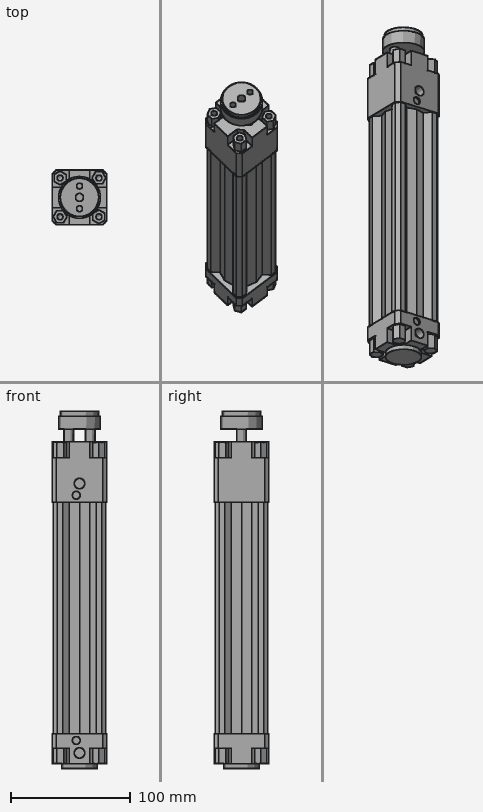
import cadquery as cq
import math

foot_height = 4
lower_cap_height = 25
upper_cap_height = 50.5
head_gap = 10.5
plate_height = 15
total_height = 299

lower_cap_bottom = foot_height
lower_cap_top = lower_cap_bottom + lower_cap_height
plate_bottom = total_height - plate_height
upper_cap_top = plate_bottom - head_gap
upper_cap_bottom = upper_cap_top - upper_cap_height

cap_width = 46
corner_count = 4
cap_chamfer = 3.6
foot_diameter = 30

upper_pocket_depth = 13.5
lower_pocket_depth = 12.8
nut_recess = 0.5
pocket_wall = 8.5
pocket_chamfer = 4
nut_offset = 16.25
nut_sides = 6
nut_across_flats = 10
nut_hole_diameter = 4.92
nut_hole_depth = 10
drill_point_angle = 118

tube_width = 44
tube_chamfer = 3.5
groove_half_width = 14
groove_depth = 5.5
groove_floor_angle = 15

port_diameter = 8.7
port_depth = 10
needle_diameter = 6.5
needle_depth = 1.5
needle_x = -2.7
upper_port_drop = 35
upper_needle_drop = 44.8
lower_port_rise = 9
lower_needle_rise = 19.5

plate_diameter = 35
plate_step_diameter = 32
plate_step_height = 4
rod_diameter = 8
rod_offset = 9
plate_thread_diameter = 6.65
plate_pin_diameter = 5
plate_pin_offset = 9.5
plate_hole_depth = 10


def cap(bottom, height):
    """Square block with chamfered vertical edges."""
    block = cq.Workplane("XY", origin=(0, 0, bottom)).rect(cap_width, cap_width).extrude(height)
    return block.edges("|Z").chamfer(cap_chamfer)


def corner_pocket(quarter_turn, bottom, depth):
    """Block that opens one corner of a cap, its inner edge chamfered."""
    size = cap_width / 2 - pocket_wall
    pocket = (
        cq.Workplane("XY", origin=(pocket_wall, pocket_wall, bottom))
        .box(size, size, depth, centered=False)
        .edges("|Z and <X and <Y")
        .chamfer(pocket_chamfer)
    )
    return pocket.rotate((0, 0, 0), (0, 0, 1), quarter_turn * 90)


def corner_nut(quarter_turn, bottom, height):
    """Hexagonal nut with flats facing +Y and -Y before it is turned into its corner."""
    nut = (
        cq.Workplane("XY", origin=(nut_offset, nut_offset, bottom))
        .polygon(nut_sides, nut_across_flats / math.cos(math.pi / nut_sides))
        .extrude(height)
    )
    return nut.rotate((0, 0, 0), (0, 0, 1), quarter_turn * 90)


def nut_hole(x, y):
    """Blind hole with a conical drill point, down from the top of an upper nut."""
    radius = nut_hole_diameter / 2
    point_height = radius / math.tan(math.radians(drill_point_angle / 2))
    profile = (
        cq.Workplane("XZ", origin=(x, y, upper_cap_top - nut_recess))
        .moveTo(0, 0)
        .lineTo(radius, 0)
        .lineTo(radius, -nut_hole_depth)
        .lineTo(0, -nut_hole_depth - point_height)
        .close()
    )
    return profile.revolve(360, (0, 0), (0, 1))


def groove(quarter_turn):
    """Full-length groove in one side of the tube: 45 degree flanks and a ridged floor."""
    face = -tube_width / 2
    floor_half_width = groove_half_width - groove_depth
    ridge_rise = floor_half_width * math.tan(math.radians(groove_floor_angle))
    cutter = (
        cq.Workplane("XY", origin=(0, 0, lower_cap_top))
        .moveTo(-groove_half_width, face)
        .lineTo(-floor_half_width, face + groove_depth)
        .lineTo(0, face + groove_depth - ridge_rise)
        .lineTo(floor_half_width, face + groove_depth)
        .lineTo(groove_half_width, face)
        .close()
        .extrude(upper_cap_bottom - lower_cap_top)
    )
    return cutter.rotate((0, 0, 0), (0, 0, 1), quarter_turn * 90)


def front_hole(x, z, diameter, depth):
    """Flat-bottomed hole into the -Y face of a cap."""
    return (
        cq.Workplane("XZ", origin=(x, -cap_width / 2, z))
        .circle(diameter / 2)
        .extrude(-depth)
    )


tube = (
    cq.Workplane("XY", origin=(0, 0, lower_cap_top))
    .rect(tube_width, tube_width)
    .extrude(upper_cap_bottom - lower_cap_top)
    .edges("|Z")
    .chamfer(tube_chamfer)
)
for turn in range(corner_count):
    tube = tube.cut(groove(turn))

lower_cap = cap(lower_cap_bottom, lower_cap_height)
upper_cap = cap(upper_cap_bottom, upper_cap_height)
upper_pocket_bottom = upper_cap_top - upper_pocket_depth
for turn in range(corner_count):
    lower_cap = lower_cap.cut(corner_pocket(turn, lower_cap_bottom, lower_pocket_depth))
    lower_cap = lower_cap.union(corner_nut(turn, lower_cap_bottom, lower_pocket_depth))
    upper_cap = upper_cap.cut(corner_pocket(turn, upper_pocket_bottom, upper_pocket_depth))
    upper_cap = upper_cap.union(corner_nut(turn, upper_pocket_bottom, upper_pocket_depth - nut_recess))

foot = cq.Workplane("XY").circle(foot_diameter / 2).extrude(foot_height)
housing = tube.union(lower_cap).union(upper_cap).union(foot)

for side_x in (-nut_offset, nut_offset):
    for side_y in (-nut_offset, nut_offset):
        housing = housing.cut(nut_hole(side_x, side_y))

for port_z in (lower_cap_bottom + lower_port_rise, upper_cap_top - upper_port_drop):
    housing = housing.cut(front_hole(0, port_z, port_diameter, port_depth))
for needle_z in (lower_cap_bottom + lower_needle_rise, upper_cap_top - upper_needle_drop):
    housing = housing.cut(front_hole(needle_x, needle_z, needle_diameter, needle_depth))

moving_plate = (
    cq.Workplane("XY", origin=(0, 0, plate_bottom))
    .circle(plate_diameter / 2)
    .extrude(plate_height - plate_step_height)
    .faces(">Z")
    .workplane()
    .circle(plate_step_diameter / 2)
    .extrude(plate_step_height)
)
rods = (
    cq.Workplane("XY", origin=(0, 0, upper_cap_top))
    .pushPoints([(-rod_offset, 0), (rod_offset, 0)])
    .circle(rod_diameter / 2)
    .extrude(head_gap)
)
moving_plate = moving_plate.union(rods)
moving_plate = moving_plate.faces(">Z").workplane().hole(plate_thread_diameter, plate_hole_depth)
moving_plate = (
    moving_plate.faces(">Z")
    .workplane()
    .pushPoints([(0, -plate_pin_offset), (0, plate_pin_offset)])
    .hole(plate_pin_diameter, plate_hole_depth)
)

result = cq.Compound.makeCompound([housing.val(), moving_plate.val()])